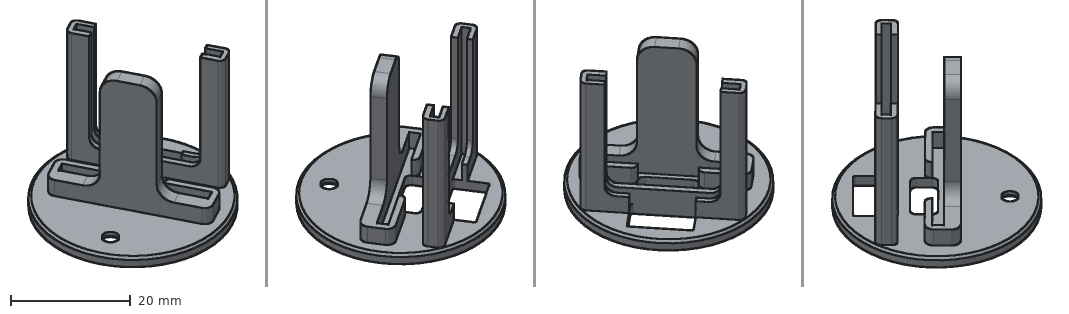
import cadquery as cq

disc_diameter = 35.0
disc_thickness = 2.0
disc_chamfer = 0.5
screw_hole_diameter = 2.9
screw_hole_y = -12.25
countersink_diameter = 5.35
countersink_depth = 1.2

total_height = 28.3
ledge_height = 5.32

rear_width = 27.8
rear_front_y = 6.5
rear_back_y = 10.25
rear_corner_radius = 1.0
rear_slot_width = 25.72
rear_slot_front_y = 7.7
rear_slot_back_y = 9.25
post_gap = 19.5
post_root_radius = 2.0

front_center_x = 0.5
front_width = 28.9
front_front_y = -4.05
front_back_y = 2.0
front_corner_radius = 1.5
front_slot_width = 26.3
front_slot_front_y = -1.22
front_slot_back_y = 0.75
tongue_width = 10.0
tongue_radius = 3.0
wall_end_radius = 1.05

rear_window_width = 11.2
rear_window_back_y = 14.0
rear_window_radius = 0.3
front_window_width = 10.25
front_window_front_y = -0.2
front_window_back_y = 4.45
front_window_radius = 1.0


def block(width, y_min, y_max, z_min, z_max, center_x=0.0):
    """Upright box spanning the given Y and Z ranges."""
    return (
        cq.Workplane("XY")
        .box(width, y_max - y_min, z_max - z_min, centered=(True, False, False))
        .translate((center_x, y_min, z_min))
    )


def make_disc():
    disc = cq.Workplane("XY").circle(disc_diameter / 2).extrude(disc_thickness)
    disc = disc.faces(">Z").edges().chamfer(disc_chamfer)
    screw_hole = (
        cq.Workplane("XY")
        .center(0, screw_hole_y)
        .circle(screw_hole_diameter / 2)
        .extrude(disc_thickness)
    )
    countersink = cq.Workplane(
        cq.Solid.makeCone(
            countersink_diameter / 2,
            screw_hole_diameter / 2,
            countersink_depth,
            pnt=cq.Vector(0, screw_hole_y, 0),
        )
    )
    return disc.cut(screw_hole).cut(countersink)


def make_rear_holder():
    body = block(rear_width, rear_front_y, rear_back_y, disc_thickness, total_height)
    body = body.edges("|Z").fillet(rear_corner_radius)
    gap = block(post_gap, rear_front_y, rear_back_y, ledge_height, total_height)
    gap = gap.edges("|Y and <Z").fillet(post_root_radius)
    slot = block(rear_slot_width, rear_slot_front_y, rear_slot_back_y, disc_thickness, total_height)
    window = block(rear_window_width, rear_slot_front_y, rear_back_y, disc_thickness, total_height)
    return body.cut(gap).cut(slot).cut(window)


def make_tongue():
    """Tongue with rounded top corners and concave fillets where it meets the ledge."""
    half = tongue_width / 2
    root_half = half + tongue_radius
    root_top = ledge_height + tongue_radius
    outline = (
        cq.Workplane("XZ", origin=(front_center_x, front_slot_front_y, 0))
        .moveTo(-root_half, disc_thickness)
        .lineTo(-root_half, ledge_height)
        .radiusArc((-half, root_top), -tongue_radius)
        .lineTo(-half, total_height - tongue_radius)
        .radiusArc((-half + tongue_radius, total_height), tongue_radius)
        .lineTo(half - tongue_radius, total_height)
        .radiusArc((half, total_height - tongue_radius), tongue_radius)
        .lineTo(half, root_top)
        .radiusArc((root_half, ledge_height), -tongue_radius)
        .lineTo(root_half, disc_thickness)
        .close()
    )
    return outline.extrude(front_slot_front_y - front_front_y)


def make_front_holder():
    body = block(front_width, front_front_y, front_back_y, disc_thickness, ledge_height, front_center_x)
    body = body.edges("|Z").fillet(front_corner_radius)
    slot = block(
        front_slot_width, front_slot_front_y, front_slot_back_y, disc_thickness, ledge_height, front_center_x
    )
    opening = block(
        front_window_width, front_slot_front_y, front_back_y, disc_thickness, ledge_height
    )
    body = body.cut(slot).cut(opening)
    end_offset = front_window_width / 2
    for side in (-1, 1):
        corner = cq.NearestToPointSelector(
            (side * end_offset, front_back_y, (disc_thickness + ledge_height) / 2)
        )
        body = body.edges("|Z").edges(corner).fillet(wall_end_radius)
    return body.union(make_tongue())


def make_window(width, y_min, y_max, radius):
    return block(width, y_min, y_max, 0, disc_thickness).edges("|Z").fillet(radius)


rear_window = make_window(rear_window_width, rear_slot_front_y, rear_window_back_y, rear_window_radius)
front_window = make_window(
    front_window_width, front_window_front_y, front_window_back_y, front_window_radius
)

disc = make_disc().cut(rear_window).cut(front_window)
result = disc.union(make_rear_holder()).union(make_front_holder())